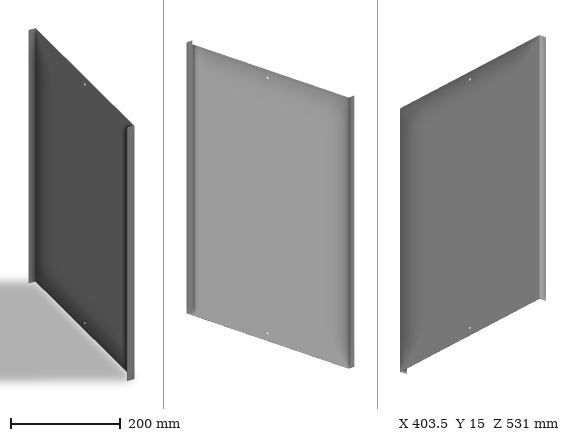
import cadquery as cq

width = 403.5
depth = 15.0
height = 531.0
thickness = 0.8
hole_diameter = 5.0
hole_edge_distance = 15.5

inner_width = width - 2 * thickness
inner_depth = depth - thickness
hole_offset = height / 2 - hole_edge_distance


def channel_block(block_width, block_depth):
    """Full-height block centred on X and Z, with its front face at Y = 0."""
    return cq.Workplane("XY").box(block_width, block_depth, height, centered=(True, False, True))


panel = channel_block(width, depth).cut(channel_block(inner_width, inner_depth))

hole_cutters = (
    cq.Workplane("XZ")
    .pushPoints([(0, hole_offset), (0, -hole_offset)])
    .circle(hole_diameter / 2)
    .extrude(-depth)
)

result = panel.cut(hole_cutters)